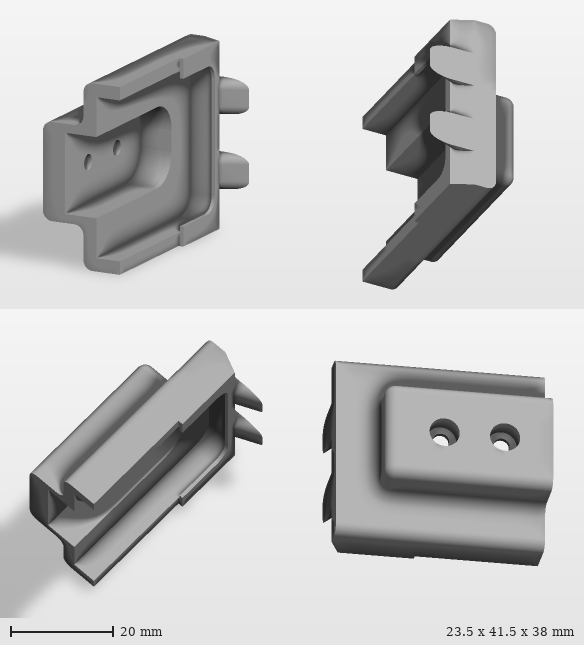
import cadquery as cq
import math

length = 41.55
height = 38.0
back_x = 18.07
round_radius = 2.0

flange_x = 8.97
step_depth = 1.05
step_y = 24.45
end_chamfer_x = 4.35
end_chamfer_y = 2.0

boss_height = 20.1
boss_end_y = 33.1

wide_floor_x = 11.85
wide_wall = 2.7
wide_corner = 4.07
lip_x = 17.33
lip_overhang = 1.35
lip_corner = 3.05
deep_floor_x = 4.9
deep_wall = 1.83
deep_corner = 6.02

hole_diameter = 3.2
counterbore_diameter = 6.0
counterbore_depth = 4.0
hole_positions_y = (9.55, 21.55)

hook_tip_x = 23.5
hook_width = 7.4
hook_spacing = 15.15
hook_angle = 23.8


def block(x_start, x_end, y_end, z_size):
    """Box from the open end to y_end, centred on Z = 0."""
    return cq.Workplane("XY").box(
        x_end - x_start, y_end, z_size, centered=(False, False, True)
    ).translate((x_start, 0, 0))


def pocket(x_start, x_end, y_end, z_size, corner):
    """Cavity block with its two closed-end corners rounded."""
    return block(x_start, x_end, y_end, z_size).edges("|X and >Y").fillet(corner)


def make_shell():
    flange = block(flange_x, back_x, length, height).edges("|Y and <X").fillet(round_radius)
    boss = (
        block(0, wide_floor_x, boss_end_y, boss_height)
        .edges("|X and >Y").fillet(round_radius)
        .faces("<X").edges("not <Y").fillet(round_radius)
    )
    shell = flange.union(boss)
    tolerance = 0.005
    foot = cq.selectors.BoxSelector(
        (flange_x - tolerance, -tolerance, -boss_height / 2 - tolerance),
        (flange_x + tolerance, boss_end_y + tolerance, boss_height / 2 + tolerance),
        boundingbox=True,
    )
    foot_edges = shell.edges(foot).edges("not <Y")
    return foot_edges.fillet(round_radius)


def make_end_chamfer():
    return (
        cq.Workplane("XY")
        .moveTo(back_x - end_chamfer_x, length)
        .lineTo(back_x, length)
        .lineTo(back_x, length - end_chamfer_y)
        .close()
        .extrude(height / 2, both=True)
    )


def make_hook(z_center):
    """Round-edged bar pushed out along the slope and cut flat at the closed end."""
    angle = math.radians(hook_angle)
    bar_length = (hook_tip_x - back_x + end_chamfer_x) / math.cos(angle)
    bar_thickness = 2 * bar_length * math.sin(angle)
    bar = (
        cq.Workplane("XY")
        .box(bar_length, bar_thickness, hook_width, centered=(False, False, True))
        .translate((-bar_length, 0, 0))
        .edges("|X and <Y").fillet(round_radius)
        .rotate((0, 0, 0), (0, 0, 1), hook_angle)
        .translate((hook_tip_x, length, z_center))
    )
    return bar.intersect(block(back_x - end_chamfer_x, hook_tip_x, length, height))


def make_hole(y_center):
    plane = cq.Workplane("YZ").center(y_center, 0)
    counterbore = plane.circle(counterbore_diameter / 2).extrude(counterbore_depth)
    return plane.circle(hole_diameter / 2).extrude(deep_floor_x).union(counterbore)


result = make_shell().cut(make_end_chamfer())
for side in (-1, 1):
    result = result.union(make_hook(side * hook_spacing / 2))

wide_end_y = length - wide_wall
wide_height = height - 2 * wide_wall
result = result.cut(pocket(wide_floor_x, lip_x, wide_end_y, wide_height, wide_corner))
result = result.cut(pocket(
    lip_x, back_x, wide_end_y - lip_overhang, wide_height - 2 * lip_overhang,
    lip_corner,
))
result = result.cut(pocket(
    deep_floor_x, wide_floor_x, boss_end_y - deep_wall, boss_height - 2 * deep_wall, deep_corner,
))

result = result.cut(block(back_x - step_depth, back_x, step_y, height))

for hole_y in hole_positions_y:
    result = result.cut(make_hole(hole_y))